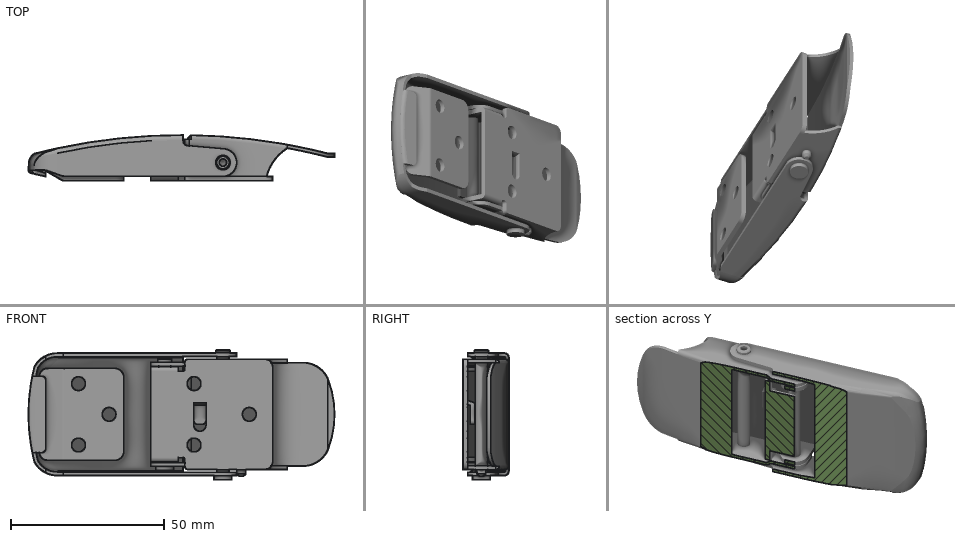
import cadquery as cq
import math


LENGTH = 99.88
HEIGHT = 15.0
LEFT_END = -LENGTH / 2
RIGHT_END = LENGTH / 2
CROWN_RADIUS = 192.0
SHEET = 1.2
PLATE = 1.5
COVER_EDGE_ROUND = 1.6
LEVER_EDGE_ROUND = 1.3

COVER_HALF_WIDTH = 20.0
COVER_TOP_END = 0.5
NOSE_END_RADIUS = 62.0
NOSE_CORNER_RADIUS = 8.6
NOSE_CORNER_OVERRUN = 0.3
NOSE_RIM_HEIGHT = 8.45
NOSE_CONE_ANGLE = math.atan(0.35)
NOSE_AXIS_X = LEFT_END + NOSE_END_RADIUS
NOSE_RIM_ROUND = 4.6
NOSE_BOTTOM = 3.5
NOSE_SLOPE_START = -44.2
NOSE_SLOPE_END = -38.5
ARM_END_RADIUS = 4.5
ARM_TOP_AT_GAP = 11.5
ARM_TOP_START = 2.4
NOTCH_CORNER_HEIGHT = 13.5
NOTCH_ARC_MIDDLE = (0.95, 12.05)
CATCH_HALF_WIDTH = 12.5
CATCH_TIP = -44.2
CATCH_TIP_BOTTOM = 1.4
CATCH_ROOT_BOTTOM = 2.7
CATCH_CORNER_RADIUS = 1.5
CATCH_ROOT_ROUND = 1.25

PIN_X = 13.5
PIN_Y = PLATE + ARM_END_RADIUS
PIN_RADIUS = 2.05
PIN_TOP_Z = 21.0
PIN_BOTTOM_Z = -21.4
PIN_TOP_HEAD_RADIUS = 2.35
PIN_BOTTOM_HEAD_RADIUS = 2.95
PIN_HEAD_CHAMFER = 0.3
PIN_SOCKET_RADIUS = 1.2
PIN_SOCKET_DEPTH = 1.5
PIN_SOCKET_TIP_ANGLE = 118
RIVET_X = -5.5
RIVET_Y = 9.0
RIVET_RADIUS = 2.0
RIVET_TOP_Z = 17.9
RIVET_BOTTOM_Z = -18.2
RIVET_TOP_HEAD_RADIUS = 2.3
RIVET_BOTTOM_HEAD_RADIUS = 2.9

LEVER_HALF_WIDTH = 18.0
LEVER_TOP_START = 3.1
LEVER_WALL_TOP_END = 34.5
LEVER_WALL_MIDDLE = (29.9, 6.2)
LEVER_WALL_BOTTOM_END = 27.8
LEVER_ARM_INNER = 15.75
LEVER_ARM_OUTER = LEVER_ARM_INNER + SHEET
LEVER_ARM_TOP = 13.6
LEVER_ARM_RADIUS = 4.6
JOGGLE_START = 1.0
JOGGLE_END = 2.6
LIP_LEFT = 0.9
LIP_KNEE_HEIGHT = 12.6
LIP_BOTTOM = 11.5
TONGUE_LEFT = -7.3
TONGUE_BOTTOM = 12.4
TONGUE_HALF_WIDTH = 12.0
TAIL_HALF_WIDTH = 16.9
TAIL_END_RADIUS = 31.7
TAIL_CORNER_RADIUS = 9.0
TAIL_BEND = 47.6
STOP_X = 19.5
STOP_RADIUS = 1.5
STOP_HEIGHT = 2.2
STOP_CHAMFER = 0.8

BASE_LEFT = RIVET_X - LEVER_ARM_RADIUS
BASE_RIGHT = 29.7
BASE_HALF_WIDTH = LEVER_HALF_WIDTH
BASE_SHOULDER = 1.1
BASE_CORNER_RADIUS = 2.5
SHOULDER_ROUND = 1.0
NOTCH_ROUND = 0.8
EAR_OUTER = 15.5
EAR_BEND_RADIUS = 1.4
EAR_CORNER_RADIUS = 4.5
EAR_RIGHT = -1.0
HOLE_RADIUS = 2.25
HOLE_SPREAD = 10.0
BASE_HOLES = [(4.1, HOLE_SPREAD), (4.1, -HOLE_SPREAD), (22.1, 0)]
SLOT_X = 6.0
SLOT_WIDTH = 4.0
SLOT_TOP = 3.75
SLOT_BOTTOM = -5.5
TAB_BOTTOM = -3.3
TAB_OFFSET = 2.3
TAB_STEP = 0.8

STRIKE_HALF_WIDTH = 15.0
STRIKE_RIGHT = -18.8
STRIKE_BEND = -38.6
STRIKE_BEND_RADIUS = 1.8
STRIKE_TIP = -46.4
STRIKE_ANGLE = math.radians(30)
STRIKE_CORNER_RADIUS = 3.0
STRIKE_HOLES = [(-33.6, HOLE_SPREAD), (-33.6, -HOLE_SPREAD), (-23.6, 0)]


def crown_height(x, inset=0.0):
    """Y of the crown arc at X, lowered by an inset."""
    radius = CROWN_RADIUS - inset
    return HEIGHT - CROWN_RADIUS + math.sqrt(radius**2 - x**2)


def across(sketch, half_width):
    """Extrude an X-Y profile symmetrically along Z."""
    return sketch.extrude(half_width, both=True)


def crowned_block(left, right, bottom, half_width, inset=0.0):
    """Block between two X positions whose top follows the crown."""
    middle = (left + right) / 2
    profile = (
        cq.Workplane("XY")
        .moveTo(left, bottom)
        .lineTo(left, crown_height(left, inset))
        .threePointArc((middle, crown_height(middle, inset)), (right, crown_height(right, inset)))
        .lineTo(right, bottom)
        .close()
    )
    return across(profile, half_width)


def cylinder_z(x, y, radius, z_start, z_end):
    return cq.Workplane("XY", origin=(x, y, z_start)).circle(radius).extrude(z_end - z_start)


def plan(y_start=0.0):
    """Workplane whose local x, y are X, Z; extruding by a negative length goes toward +Y."""
    return cq.Workplane("XZ", origin=(0, y_start, 0))


def drill(body, places, radius):
    tools = plan().pushPoints(places).circle(radius).extrude(-HEIGHT)
    return body.cut(tools)


def nose_dome(inset):
    """Turned cap, a wall and a flat cone joined by a rounded rim, that shapes the nose."""
    radius = NOSE_END_RADIUS - inset
    rim_round = NOSE_RIM_ROUND - inset
    rim = NOSE_RIM_HEIGHT - inset * (1 / math.cos(NOSE_CONE_ANGLE) - math.tan(NOSE_CONE_ANGLE))
    rim_turn = math.pi / 2 - NOSE_CONE_ANGLE
    round_x = rim_round - radius
    round_y = rim - rim_round * math.tan(rim_turn / 2)

    def rim_point(angle):
        return (round_x - rim_round * math.cos(angle), round_y + rim_round * math.sin(angle))

    return (
        cq.Workplane("XY", origin=(NOSE_AXIS_X, 0, 0))
        .lineTo(-radius, 0)
        .lineTo(-radius, round_y)
        .threePointArc(rim_point(rim_turn / 2), rim_point(rim_turn))
        .lineTo(0, rim + radius * math.tan(NOSE_CONE_ANGLE))
        .close()
        .revolve(360, (0, 0, 0), (0, 1, 0))
    )


def nose_disc(radius):
    return plan().center(NOSE_AXIS_X, 0).circle(radius).extrude(-HEIGHT)


def cover_form(inset):
    """Solid form of the cover, shrunk by an inset, running on past the arm ends."""
    right = PIN_X + 2 * ARM_END_RADIUS
    left = LEFT_END - SHEET
    half_width = COVER_HALF_WIDTH - inset
    block = crowned_block(left, right, 0, half_width, inset)
    form = block.intersect(nose_disc(NOSE_END_RADIUS + NOSE_CORNER_OVERRUN - inset))
    form = form.edges("|Y").edges("<X").fillet(NOSE_CORNER_RADIUS - inset)
    form = form.faces(">Y").edges("not(|Z)").fillet(COVER_EDGE_ROUND - inset)
    return form.intersect(nose_dome(inset))


def cover_side_outline():
    """Side outline that trims the cover: nose slope, arm, rounded arm end and top notch."""
    lean = math.atan2(ARM_TOP_AT_GAP - PIN_Y - ARM_END_RADIUS, PIN_X - ARM_TOP_START)
    tangent = (PIN_X + ARM_END_RADIUS * math.sin(lean), PIN_Y + ARM_END_RADIUS * math.cos(lean))
    outline = (
        cq.Workplane("XY")
        .moveTo(LEFT_END, NOSE_BOTTOM)
        .lineTo(NOSE_SLOPE_START, NOSE_BOTTOM)
        .lineTo(NOSE_SLOPE_END, PLATE)
        .lineTo(PIN_X, PIN_Y - ARM_END_RADIUS)
        .threePointArc((PIN_X + ARM_END_RADIUS, PIN_Y), tangent)
        .lineTo(ARM_TOP_START, ARM_TOP_AT_GAP)
        .threePointArc(NOTCH_ARC_MIDDLE, (COVER_TOP_END, NOTCH_CORNER_HEIGHT))
        .lineTo(COVER_TOP_END, HEIGHT)
        .lineTo(LEFT_END, HEIGHT)
        .close()
    )
    return across(outline, COVER_HALF_WIDTH)


def cover_catch():
    """Tongue turned in under the nose that hooks the strike plate."""
    root_top = NOSE_BOTTOM + SHEET / 2
    profile = cq.Workplane("XY").polyline(
        [
            (LEFT_END, root_top),
            (LEFT_END, CATCH_ROOT_BOTTOM),
            (CATCH_TIP, CATCH_TIP_BOTTOM),
            (CATCH_TIP, CATCH_TIP_BOTTOM + SHEET),
            (LEFT_END + SHEET, root_top),
        ]
    )
    tongue = across(profile.close(), CATCH_HALF_WIDTH)
    tongue = tongue.faces(">X").edges("|Y").fillet(CATCH_CORNER_RADIUS)
    tongue = tongue.intersect(nose_disc(NOSE_END_RADIUS))
    return tongue.faces("<X").edges("<Y").fillet(CATCH_ROOT_ROUND)


def make_cover():
    shell = cover_form(0).cut(cover_form(SHEET)).intersect(cover_side_outline())
    pin_bore = cylinder_z(PIN_X, PIN_Y, PIN_RADIUS, PIN_BOTTOM_Z, PIN_TOP_Z)
    return shell.union(cover_catch()).cut(pin_bore)


def tail_outline():
    """Rounded outline of the thumb tail, as an upright block."""
    end_disc = plan().center(RIGHT_END - TAIL_END_RADIUS, 0).circle(TAIL_END_RADIUS).extrude(-HEIGHT)
    block = plan().rect(2 * RIGHT_END, 2 * TAIL_HALF_WIDTH).extrude(-HEIGHT).intersect(end_disc)
    return block.edges("|Y").edges(">X").fillet(TAIL_CORNER_RADIUS)


def lever_form(inset):
    block = crowned_block(LEVER_TOP_START, TAIL_BEND, PLATE, LEVER_HALF_WIDTH - inset, inset)
    return block.faces(">Y").edges("not(|Z)").fillet(LEVER_EDGE_ROUND - inset)


def lever_shell():
    """Crowned channel whose walls end in concave curves; its top runs on as the thumb tail."""
    wall_end_top = crown_height(LEVER_WALL_TOP_END, SHEET)
    tail_middle = (LEVER_WALL_TOP_END + TAIL_BEND) / 2
    tail_middle_point = (tail_middle, crown_height(tail_middle, SHEET))
    below_tail = (
        cq.Workplane("XY")
        .moveTo(LEVER_WALL_BOTTOM_END, PLATE)
        .threePointArc(LEVER_WALL_MIDDLE, (LEVER_WALL_TOP_END, wall_end_top))
        .threePointArc(tail_middle_point, (TAIL_BEND, crown_height(TAIL_BEND, SHEET)))
        .lineTo(TAIL_BEND, PLATE)
        .close()
    )
    channel_length = LEVER_WALL_TOP_END - LEVER_TOP_START
    channel_outline = (
        plan()
        .center(LEVER_TOP_START + channel_length / 2, 0)
        .rect(channel_length, 2 * LEVER_HALF_WIDTH)
        .extrude(-HEIGHT)
    )
    shell = lever_form(0).cut(lever_form(SHEET)).cut(across(below_tail, LEVER_HALF_WIDTH))
    return shell.intersect(channel_outline.union(tail_outline()))


def lever_tip():
    """Flat tip of the thumb tail."""
    top = crown_height(TAIL_BEND)
    length = RIGHT_END - TAIL_BEND
    tip = cq.Workplane("XY").center(TAIL_BEND + length / 2, top - SHEET / 2).rect(length, SHEET)
    return across(tip, TAIL_HALF_WIDTH).intersect(tail_outline())


def lever_lip():
    """Lip turned down from the left edge of the lever top, with a tongue under the cover."""
    lip = cq.Workplane("XY").polyline(
        [
            (LEVER_TOP_START, crown_height(LEVER_TOP_START)),
            (LIP_LEFT, LIP_KNEE_HEIGHT),
            (LIP_LEFT + SHEET / 2, LIP_BOTTOM),
            (LEVER_TOP_START, LIP_BOTTOM),
        ]
    )
    tongue_length = LEVER_TOP_START - TONGUE_LEFT
    tongue = (
        cq.Workplane("XY")
        .center(TONGUE_LEFT + tongue_length / 2, TONGUE_BOTTOM + SHEET / 2)
        .rect(tongue_length, SHEET)
    )
    return across(lip.close(), LEVER_ARM_INNER).union(across(tongue, TONGUE_HALF_WIDTH))


def lever_arm(side):
    """Arm that joggles inward from a lever wall and has round corners at the rivet end."""
    outer_step = LEVER_HALF_WIDTH - LEVER_ARM_OUTER
    outer = [
        (BASE_LEFT, LEVER_ARM_OUTER),
        (JOGGLE_START, LEVER_ARM_OUTER),
        (JOGGLE_END, LEVER_ARM_OUTER + outer_step),
        (LEVER_TOP_START + SHEET, LEVER_ARM_OUTER + outer_step),
    ]
    inner = [(x, z - SHEET) for x, z in reversed(outer)]
    strip = plan().polyline([(x, side * z) for x, z in outer + inner]).close().extrude(-HEIGHT)
    arm_length = LEVER_TOP_START + SHEET - BASE_LEFT
    arm_height = LEVER_ARM_TOP - PLATE
    outline = (
        cq.Workplane("XY")
        .center(BASE_LEFT + arm_length / 2, PLATE + arm_height / 2)
        .rect(arm_length, arm_height)
    )
    side_shape = across(outline, LEVER_HALF_WIDTH).edges("|Z").edges("<X").fillet(LEVER_ARM_RADIUS)
    return strip.intersect(side_shape)


def lever_stop():
    """Stop stud on the lower wall, just past the end of the cover arm."""
    stud_end = -LEVER_HALF_WIDTH - STOP_HEIGHT
    stud = cylinder_z(STOP_X, PIN_Y, STOP_RADIUS, stud_end, -LEVER_HALF_WIDTH + SHEET / 2)
    return stud.faces("<Z").chamfer(STOP_CHAMFER)


def make_lever():
    lever = lever_shell().union(lever_tip()).union(lever_lip())
    for side in (1, -1):
        lever = lever.union(lever_arm(side))
    lever = lever.union(lever_stop())
    lever = lever.cut(cylinder_z(PIN_X, PIN_Y, PIN_RADIUS, -LEVER_HALF_WIDTH, LEVER_HALF_WIDTH))
    return lever.cut(cylinder_z(RIVET_X, RIVET_Y, RIVET_RADIUS, -LEVER_HALF_WIDTH, LEVER_HALF_WIDTH))


def base_channel():
    """Narrow left part of the base: floor and two ears with a rounded bend."""
    length = EAR_RIGHT - BASE_LEFT
    center_x = (BASE_LEFT + EAR_RIGHT) / 2
    block = plan().center(center_x, 0).rect(length, 2 * EAR_OUTER).extrude(-LEVER_ARM_TOP)
    block = block.faces("<Y").edges("|X").fillet(EAR_BEND_RADIUS)
    inner_half_width = EAR_OUTER - PLATE
    room = plan(PLATE).center(center_x, 0).rect(length, 2 * inner_half_width).extrude(-LEVER_ARM_TOP)
    return block.cut(room).edges("|Z").edges(">Y").fillet(EAR_CORNER_RADIUS)


def base_tab():
    """Tab stepped in from the top end of the slot."""
    profile = cq.Workplane("YZ", origin=(SLOT_X, 0, 0)).polyline(
        [
            (0, SLOT_TOP),
            (TAB_OFFSET, SLOT_TOP - TAB_STEP),
            (TAB_OFFSET, TAB_BOTTOM),
            (TAB_OFFSET + PLATE, TAB_BOTTOM),
            (TAB_OFFSET + PLATE, SLOT_TOP),
            (PLATE, SLOT_TOP + TAB_STEP),
            (0, SLOT_TOP + TAB_STEP),
        ]
    )
    tab = profile.close().extrude(SLOT_WIDTH / 2, both=True)
    return tab.edges("|Y").edges("<Z").fillet(SLOT_WIDTH / 3)


def make_base():
    wide_length = BASE_RIGHT - BASE_SHOULDER
    wide = plan().center(BASE_SHOULDER + wide_length / 2, 0).rect(wide_length, 2 * BASE_HALF_WIDTH)
    wide = wide.extrude(-PLATE)
    wide = wide.edges("|Y").edges(">X").fillet(BASE_CORNER_RADIUS)
    wide = wide.edges("|Y").edges("<X").fillet(SHOULDER_ROUND)
    neck_length = 2 * (BASE_SHOULDER - EAR_RIGHT)
    neck = plan().center(BASE_SHOULDER, 0).rect(neck_length, 2 * (EAR_OUTER - EAR_BEND_RADIUS))
    base = wide.union(neck.extrude(-PLATE)).union(base_channel())
    for side in (1, -1):
        notch_corner = (BASE_SHOULDER, PLATE / 2, side * (EAR_OUTER - EAR_BEND_RADIUS))
        base = base.edges(cq.selectors.NearestToPointSelector(notch_corner)).fillet(NOTCH_ROUND)
    slot_square_end = SLOT_BOTTOM + SLOT_WIDTH / 2
    slot = (
        plan()
        .moveTo(SLOT_X - SLOT_WIDTH / 2, SLOT_TOP)
        .lineTo(SLOT_X - SLOT_WIDTH / 2, slot_square_end)
        .threePointArc((SLOT_X, SLOT_BOTTOM), (SLOT_X + SLOT_WIDTH / 2, slot_square_end))
        .lineTo(SLOT_X + SLOT_WIDTH / 2, SLOT_TOP)
        .close()
        .extrude(-PLATE)
    )
    base = drill(base.cut(slot).union(base_tab()), BASE_HOLES, HOLE_RADIUS)
    return base.cut(cylinder_z(RIVET_X, RIVET_Y, RIVET_RADIUS, -EAR_OUTER, EAR_OUTER))


def make_strike():
    rise = (STRIKE_BEND - STRIKE_TIP) * math.tan(STRIKE_ANGLE)
    bend_shift = PLATE * math.tan(STRIKE_ANGLE / 2)
    tip_top = (STRIKE_TIP + PLATE * math.sin(STRIKE_ANGLE), rise + PLATE * math.cos(STRIKE_ANGLE))
    profile = cq.Workplane("XY").polyline(
        [
            (STRIKE_RIGHT, 0),
            (STRIKE_BEND, 0),
            (STRIKE_TIP, rise),
            tip_top,
            (STRIKE_BEND + bend_shift, PLATE),
            (STRIKE_RIGHT, PLATE),
        ]
    )
    strike = across(profile.close(), STRIKE_HALF_WIDTH)
    strike = strike.edges("|Y").edges(">X").fillet(STRIKE_CORNER_RADIUS)
    bend_edges = strike.edges(cq.selectors.NearestToPointSelector((STRIKE_BEND, 0, 0)))
    strike = bend_edges.fillet(STRIKE_BEND_RADIUS)
    slanted = cq.Vector(math.sin(STRIKE_ANGLE), math.cos(STRIKE_ANGLE), 0)
    strike = strike.edges(cq.selectors.ParallelDirSelector(slanted)).fillet(STRIKE_CORNER_RADIUS)
    return drill(strike, STRIKE_HOLES, HOLE_RADIUS)


def make_hinge_pin():
    top_head = cylinder_z(PIN_X, PIN_Y, PIN_TOP_HEAD_RADIUS, COVER_HALF_WIDTH, PIN_TOP_Z)
    top_head = top_head.faces(">Z").chamfer(PIN_HEAD_CHAMFER)
    bottom_head = cylinder_z(PIN_X, PIN_Y, PIN_BOTTOM_HEAD_RADIUS, PIN_BOTTOM_Z, -COVER_HALF_WIDTH)
    shank = cylinder_z(PIN_X, PIN_Y, PIN_RADIUS, PIN_BOTTOM_Z, PIN_TOP_Z - PIN_HEAD_CHAMFER)
    pin = shank.union(top_head).union(bottom_head)
    cone_depth = PIN_SOCKET_RADIUS / math.tan(math.radians(PIN_SOCKET_TIP_ANGLE / 2))
    socket = (
        cq.Workplane("XZ", origin=(PIN_X, PIN_Y, PIN_TOP_Z))
        .polyline([(0, 0), (PIN_SOCKET_RADIUS, 0), (PIN_SOCKET_RADIUS, -PIN_SOCKET_DEPTH),
                   (0, -PIN_SOCKET_DEPTH - cone_depth)])
        .close()
        .revolve(360, (0, 0, 0), (0, 1, 0))
    )
    return pin.cut(socket)


def make_rivet():
    rivet = cylinder_z(RIVET_X, RIVET_Y, RIVET_RADIUS, RIVET_BOTTOM_Z, RIVET_TOP_Z)
    top_head = cylinder_z(RIVET_X, RIVET_Y, RIVET_TOP_HEAD_RADIUS, LEVER_ARM_OUTER, RIVET_TOP_Z)
    bottom_head = cylinder_z(RIVET_X, RIVET_Y, RIVET_BOTTOM_HEAD_RADIUS, RIVET_BOTTOM_Z, -LEVER_ARM_OUTER)
    return rivet.union(top_head).union(bottom_head)


cover = make_cover()
lever = make_lever()
base = make_base()
strike = make_strike()
hinge_pin = make_hinge_pin()
rivet = make_rivet()

bodies = [cover, lever, base, strike, hinge_pin, rivet]
result = cq.Compound.makeCompound([solid for body in bodies for solid in body.solids().vals()])